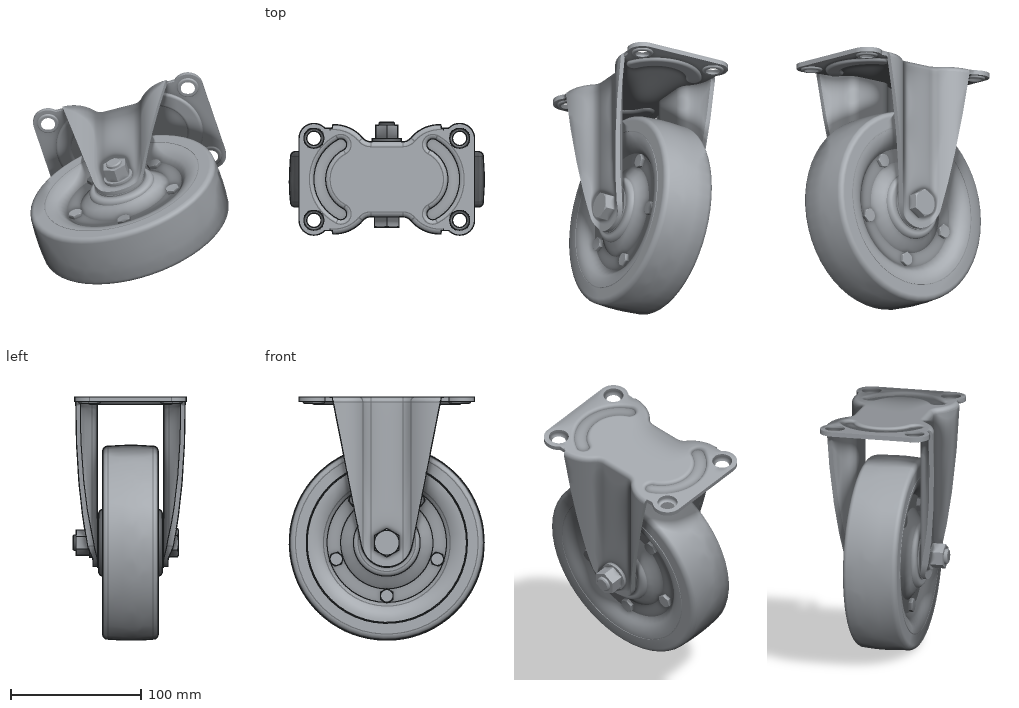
import cadquery as cq
import math


tread_radius = 75.0
tread_edge_radius = 74.2
wheel_half_width = 21.4
tread_fillet = 4.0
seam_outer_radius = 62.0
seam_inner_radius = 61.2
seam_depth = 0.4
rim_cone_radius = 48.7
rim_cone_half_width = 16.2
web_outer_radius = 45.9
web_inner_radius = 35.5
web_half_width = 13.6
hub_radius = 25.7
hub_half_width = 24.5
hub_fillet = 3.6
spacer_radius = 19.0
rim_arc_angle = 45.0

web_bolt_count = 5
web_bolt_circle_radius = 40.8
web_bolt_flats = 9.6
web_bolt_head_height = 3.0

plate_top = 112.0
plate_length = 135.0
plate_width = 86.0
sheet = 3.5
corner_radius = 11.5
waist_half_width = 39.4
hole_mouth_radius = 7.65
hole_radius = 5.4
hole_boss_radius = 8.3
hole_boss_height = 1.4
hole_boss_fillet = 1.3

bead_centre_x = 21.5
bead_arc_radius = 30.0
bead_half_angle = 62.5
bead_half_width = 4.2
bead_depth = 2.3
bead_fillet = 3.75
bead_pad_half_width = 6.0
bead_pad_fillet = 2.2

leg_outer_y = 28.9
leg_flat_half = 12.3
valley_radius = 8.0
bend_angle = 50.0
flange_radius = 29.0
flange_end_x = 47.0
bend_fillet = 3.9
leg_top_half = 42.0
leg_notch_half = 43.7
leg_tip_radius = 19.8
leg_tip_z = 1.3

bolt_diameter = 12.0
bolt_end_y = 44.14
bolt_chamfer = 0.9
head_flats = 19.0
head_height = 8.0
washer_diameter = 22.4
washer_thickness = 2.5
nut_flats = 17.0
nut_height = 10.3

plate_underside = plate_top - sheet
hole_x = plate_length / 2 - corner_radius
hole_y = plate_width / 2 - corner_radius
hole_spots = [(sx * hole_x, sy * hole_y) for sx in (-1, 1) for sy in (-1, 1)]


def y_cylinder(diameter, y_start, y_end):
    """Cylinder on the axle line."""
    return cq.Workplane("XZ", origin=(0, y_start, 0)).circle(diameter / 2).extrude(y_start - y_end)


def hexagon(flats):
    """Hexagon outline with corners up and down, in a plane across Y."""
    corner = flats / 2 / math.cos(math.pi / 6)
    points = [(corner * math.sin(math.radians(a)), corner * math.cos(math.radians(a)))
              for a in range(0, 360, 60)]
    return cq.Workplane("XZ").polyline(points).close()


def hexagon_head(flats, height):
    """Hexagon head from y = 0 to -height, its outer corners cut off at 30 degrees."""
    corner = flats / 2 / math.cos(math.pi / 6)
    overhang = corner - flats / 2
    envelope = (
        cq.Workplane("XZ").circle(corner).extrude(height)
        .faces("<Y").chamfer(overhang * math.tan(math.pi / 6), overhang)
    )
    return hexagon(flats).extrude(height).intersect(envelope)


def wheel_half():
    """Half of the wheel on the -Y side, turned about the axle line."""
    rim_run = seam_inner_radius - rim_cone_radius
    rim_rise = wheel_half_width - rim_cone_half_width
    sagitta_share = math.tan(math.radians(rim_arc_angle) / 4) / 2
    rim_mid = (
        (seam_inner_radius + rim_cone_radius) / 2 - rim_rise * sagitta_share,
        (wheel_half_width + rim_cone_half_width) / 2 + rim_run * sagitta_share,
    )
    corner_share = 1 - math.sqrt(0.5)
    hub_fillet_mid = (
        hub_radius - hub_fillet * corner_share,
        hub_half_width - hub_fillet * corner_share,
    )
    tread_fillet_mid = (
        tread_edge_radius - tread_fillet * corner_share,
        wheel_half_width - tread_fillet * corner_share,
    )
    bore = bolt_diameter / 2
    spacer_half_width = leg_outer_y - sheet
    profile = (
        cq.Workplane("XY")
        .moveTo(bore, 0)
        .lineTo(bore, spacer_half_width)
        .lineTo(spacer_radius, spacer_half_width)
        .lineTo(spacer_radius, hub_half_width)
        .lineTo(hub_radius - hub_fillet, hub_half_width)
        .threePointArc(hub_fillet_mid, (hub_radius, hub_half_width - hub_fillet))
        .lineTo(web_inner_radius, web_half_width)
        .lineTo(web_outer_radius, web_half_width)
        .lineTo(rim_cone_radius, rim_cone_half_width)
        .threePointArc(rim_mid, (seam_inner_radius, wheel_half_width))
        .lineTo(seam_inner_radius, wheel_half_width - seam_depth)
        .lineTo(seam_outer_radius, wheel_half_width - seam_depth)
        .lineTo(seam_outer_radius, wheel_half_width)
        .lineTo(tread_edge_radius - tread_fillet, wheel_half_width)
        .threePointArc(tread_fillet_mid, (tread_edge_radius, wheel_half_width - tread_fillet))
        .lineTo(tread_edge_radius, 0)
        .close()
    )
    half = profile.revolve(360, (0, 0, 0), (0, 1, 0)).mirror("XZ")
    head = hexagon_head(web_bolt_flats, web_bolt_head_height)
    head = head.translate((0, -web_half_width, -web_bolt_circle_radius))
    for index in range(web_bolt_count):
        half = half.union(head.rotate((0, 0, 0), (0, 1, 0), index * 360 / web_bolt_count))
    return half


def tread_crown():
    """Slightly crowned ring on the tread, between the tyre fillets."""
    edge_y = wheel_half_width - tread_fillet
    return (
        cq.Workplane("XY")
        .moveTo(tread_edge_radius, -edge_y)
        .threePointArc((tread_radius, 0), (tread_edge_radius, edge_y))
        .close()
        .revolve(360, (0, 0, 0), (0, 1, 0))
    )


def make_wheel():
    """Tyre, rim, hub and bolt heads in one piece, alike on both sides."""
    half = wheel_half()
    return half.union(half.mirror("XZ")).union(tread_crown())


def hourglass(inset):
    """Plan outline of one quarter of the legs and the plate between them, moved inwards by inset."""
    bend = math.radians(bend_angle)
    valley = valley_radius + inset
    flange = flange_radius - inset
    flat_y = leg_outer_y - inset
    valley_centre_y = flat_y + valley
    join = (leg_flat_half + valley * math.sin(bend), valley_centre_y - valley * math.cos(bend))
    flange_centre = (join[0] + flange * math.sin(bend), join[1] - flange * math.cos(bend))
    end_rise = math.sqrt(flange**2 - (flange_end_x - flange_centre[0]) ** 2)
    flange_end = (flange_end_x, flange_centre[1] + end_rise)
    valley_mid = (
        leg_flat_half + valley * math.sin(bend / 2),
        valley_centre_y - valley * math.cos(bend / 2),
    )
    flange_mid = (
        flange_centre[0] - flange * math.sin(bend / 2),
        flange_centre[1] + flange * math.cos(bend / 2),
    )
    return (
        cq.Workplane("XY")
        .lineTo(0, flat_y)
        .lineTo(leg_flat_half, flat_y)
        .threePointArc(valley_mid, join)
        .threePointArc(flange_mid, flange_end)
        .lineTo(flange_end_x, 0)
        .close()
    )


def hourglass_block(inset, bottom, top):
    """Waisted block with the full plan outline of the legs."""
    quarter = hourglass(inset).extrude(top - bottom).translate((0, 0, bottom))
    half = quarter.union(quarter.mirror("YZ"))
    return half.union(half.mirror("XZ"))


def leg_outline():
    """Tapered legs with a rounded tip, seen along Y, as a block across both legs."""
    drop = plate_top - leg_tip_z
    reach = math.hypot(leg_top_half, drop)
    tangent_angle = math.atan2(drop, leg_top_half) - math.acos(leg_tip_radius / reach)
    tangent_x = leg_tip_radius * math.cos(tangent_angle)
    tangent_z = leg_tip_z + leg_tip_radius * math.sin(tangent_angle)
    return (
        cq.Workplane("XZ")
        .moveTo(-leg_top_half, plate_top)
        .lineTo(-tangent_x, tangent_z)
        .threePointArc((0, leg_tip_z - leg_tip_radius), (tangent_x, tangent_z))
        .lineTo(leg_top_half, plate_top)
        .close()
        .extrude(plate_width, both=True)
    )


def bent_block():
    """Solid block inside the outer surface of the legs, with its top rim rounded."""
    block = hourglass_block(0, leg_tip_z - leg_tip_radius, plate_top)
    return block.faces(">Z").edges("not(<X or >X)").fillet(bend_fillet)


def make_legs():
    """Two legs and the sheet joining them."""
    bottom = leg_tip_z - leg_tip_radius
    inside = hourglass_block(sheet, bottom, plate_underside)
    return bent_block().cut(inside).intersect(leg_outline())


def make_plate():
    """Flat plate with a round lobe at each corner, cut back to the bend along the legs."""
    plate = cq.Workplane("XY", origin=(0, 0, plate_underside))
    lobes = plate.pushPoints(hole_spots).circle(corner_radius).extrude(sheet)
    ends = plate.rect(plate_length, 2 * hole_y).extrude(sheet)
    waist = plate.rect(2 * hole_x, 2 * waist_half_width).extrude(sheet)
    beside_legs = plate.rect(2 * leg_notch_half, plate_width).extrude(sheet).cut(bent_block())
    return ends.union(waist).union(lobes).cut(beside_legs)


def bead_block(half_width, bottom, top):
    """Curved slot shape on the +X side."""
    angle = math.radians(bead_half_angle)
    inner = bead_arc_radius - half_width
    outer = bead_arc_radius + half_width

    def spot(radius, turn):
        return (bead_centre_x + radius * math.cos(turn), radius * math.sin(turn))

    def cap(side):
        """Farthest point of the round end."""
        x, y = spot(bead_arc_radius, side * angle)
        return (x - half_width * math.sin(angle), y + side * half_width * math.cos(angle))

    return (
        cq.Workplane("XY", origin=(0, 0, bottom))
        .moveTo(*spot(outer, -angle))
        .threePointArc(spot(outer, 0), spot(outer, angle))
        .threePointArc(cap(1), spot(inner, angle))
        .threePointArc(spot(inner, 0), spot(inner, -angle))
        .threePointArc(cap(-1), spot(outer, -angle))
        .close()
        .extrude(top - bottom)
    )


def bead_groove():
    """Flat-floored groove with a rounded wall, on the +X side."""
    slab_depth = 2 * sheet
    slab = (
        cq.Workplane("XY", origin=(0, 0, plate_top - slab_depth))
        .rect(plate_length, plate_width).extrude(slab_depth)
    )
    slit_slab = slab.cut(bead_block(bead_half_width, plate_top - slab_depth, plate_top))
    rim = slit_slab.faces(">Z").val().innerWires()[0].Edges()
    deep_groove = slab.cut(slit_slab.newObject(rim).fillet(bead_fillet))
    below_floor = slab.translate((0, 0, -bead_depth))
    return deep_groove.cut(below_floor)


def bead_pad():
    """Bulge under the plate that gives the bead its wall, on the +X side."""
    pad = bead_block(bead_pad_half_width, plate_underside - bead_depth, plate_underside)
    return pad.faces("<Z").edges().fillet(bead_pad_fillet)


def hole_boss():
    """Round bulge under the plate at a mounting hole."""
    return (
        cq.Workplane("XY", origin=(0, 0, plate_underside))
        .circle(hole_boss_radius).extrude(-hole_boss_height)
        .faces("<Z").edges().fillet(hole_boss_fillet)
    )


def seated_hole():
    """Mounting hole, narrowing in a bowl-shaped seat to its smallest radius at the bottom."""
    return (
        cq.Workplane("XY", origin=(0, 0, plate_top))
        .circle(hole_mouth_radius).extrude(-(sheet + hole_boss_height))
        .faces("<Z").edges().fillet(hole_mouth_radius - hole_radius)
    )


def make_bracket():
    """Pressed plate and legs, with beads, mounting holes and the bolt hole."""
    bracket = make_legs().union(make_plate())

    groove = bead_groove()
    pad = bead_pad()
    bracket = bracket.union(pad).union(pad.mirror("YZ"))
    bracket = bracket.cut(groove).cut(groove.mirror("YZ"))

    boss = hole_boss()
    hole = seated_hole()
    for x, y in hole_spots:
        bracket = bracket.union(boss.translate((x, y, 0)))
        bracket = bracket.cut(hole.translate((x, y, 0)))
    return bracket.cut(y_cylinder(bolt_diameter, -plate_width, plate_width))


def make_axle():
    """Bolt with its washer and nut."""
    washer_end = leg_outer_y + washer_thickness
    shank = y_cylinder(bolt_diameter, -leg_outer_y, bolt_end_y).faces(">Y").chamfer(bolt_chamfer)
    head = hexagon_head(head_flats, head_height).translate((0, -leg_outer_y, 0))
    washer = y_cylinder(washer_diameter, leg_outer_y, washer_end)
    nut = hexagon(nut_flats).extrude(-nut_height).translate((0, washer_end, 0))
    return shank.union(head).union(washer).union(nut)


wheel = make_wheel()
bracket = make_bracket()
axle = make_axle()

result = cq.Compound.makeCompound([
    bracket.solids().val(),
    wheel.solids().val(),
    axle.solids().val(),
])